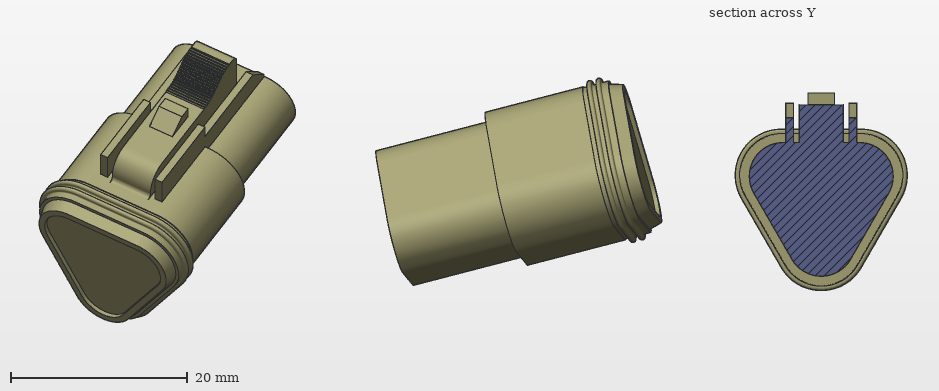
import cadquery as cq
import math

LENGTH = 29.0

OVERLAP = 0.3

BODY_SIDE = 9.02
SHELL_SIDE = 8.65
SHELL_RADIUS = 3.83
BODY_RADIUS = 4.73
SEAL_LAND_RADIUS = 4.65
RING_RADIUS = 5.235
TAPER_BASE_RADIUS = 4.25
TAPER_END_RADIUS = 3.85
RECESS_RADIUS = 3.1

TAPER_LENGTH = 1.45
LAND_REAR = 4.45
BODY_REAR = 15.9
RING_STATIONS = (2.52, 3.6)
RECESS_DEPTH = 0.52

RING_WIDTH = 0.58
RING_FOOT = 0.12

DECK_FRONT = 7.35
DECK_Z = SHELL_SIDE / (2 * math.sqrt(3)) + SHELL_RADIUS
BODY_TOP_Z = BODY_SIDE / (2 * math.sqrt(3)) + BODY_RADIUS

RAIL_INNER = 3.13
RAIL_THICKNESS = 0.9
RAIL_FRONT = 6.38
RAIL_HIGH_Z = 10.75
RAIL_LOW_Z = 9.14
RAIL_CHAMFER = 2.5

LATCH_WIDTH = 5.02
LATCH_REAR = 25.43
LATCH_TOP_Z = 12.73
LATCH_REAR_FILLET = 0.93
ARM_Z = 10.58
ARM_FRONT = RAIL_FRONT
ARM_BEND_RADIUS = 2.52
ARM_FOOT_FILLET = 0.5

GRIP_REAR = 23.87
GRIP_FRONT = 18.25
SLOPE_REAR = 23.64
SLOPE_FRONT = 18.82
SLOPE_ANGLE = math.radians(34)
TOOTH_COUNT = 18
TOOTH_HEIGHT = 0.15
TOOTH_RISE = 0.15
CREST_WIDTH = 0.072

CATCH_WIDTH = 3.02
CATCH_REAR = 16.4
CATCH_CREST = 15.05
CATCH_FRONT = 12.9
CATCH_Z = 11.92


def rounded_triangle(side, radius, y):
    """Downward-pointing rounded triangle, centred on the Y axis at the given station."""
    top = side / (2 * math.sqrt(3))
    tip = -side / math.sqrt(3)
    corners = [(-side / 2, top), (side / 2, top), (0, tip)]
    return cq.Workplane("XZ", origin=(0, y, 0)).polyline(corners).close().offset2D(radius)


def prism(side, radius, front, rear):
    return rounded_triangle(side, radius, rear).extrude(rear - front)


def side_profile(x_centre, width):
    """Sketch plane with (Y, Z) coordinates; extruding by width centres the solid on x_centre."""
    return cq.Workplane("YZ", origin=(x_centre - width / 2, 0, 0))


def seal_ring(station):
    """Round-tipped bead swept around the land, with small concave feet."""
    half = RING_WIDTH / 2
    root = BODY_SIDE / (2 * math.sqrt(3)) + SEAL_LAND_RADIUS
    tip = root + RING_RADIUS - SEAL_LAND_RADIUS
    buried = root - OVERLAP
    foot_mid = RING_FOOT * (1 - math.sqrt(0.5))
    outer = half + RING_FOOT
    section = (
        cq.Workplane("YZ")
        .moveTo(station - outer, buried)
        .lineTo(station - outer, root)
        .threePointArc((station - half - foot_mid, root + foot_mid), (station - half, root + RING_FOOT))
        .lineTo(station - half, tip - half)
        .threePointArc((station, tip), (station + half, tip - half))
        .lineTo(station + half, root + RING_FOOT)
        .threePointArc((station + half + foot_mid, root + foot_mid), (station + outer, root))
        .lineTo(station + outer, buried)
        .close()
    )
    corner_x = BODY_SIDE / 2
    corner_z = BODY_SIDE / (2 * math.sqrt(3))
    tip_z = -BODY_SIDE / math.sqrt(3)
    radius = SEAL_LAND_RADIUS
    face_x = radius * math.cos(math.radians(30))
    face_z = radius * math.sin(math.radians(30))
    path = (
        cq.Workplane("XZ", origin=(0, station, 0))
        .moveTo(0, corner_z + radius)
        .lineTo(corner_x, corner_z + radius)
        .threePointArc((corner_x + face_x, corner_z + face_z), (corner_x + face_x, corner_z - face_z))
        .lineTo(face_x, tip_z - face_z)
        .threePointArc((0, tip_z - radius), (-face_x, tip_z - face_z))
        .lineTo(-corner_x - face_x, corner_z - face_z)
        .threePointArc((-corner_x - face_x, corner_z + face_z), (-corner_x, corner_z + radius))
        .close()
    )
    return section.sweep(path)


def housing():
    taper_angle = math.degrees(math.atan((TAPER_BASE_RADIUS - TAPER_END_RADIUS) / TAPER_LENGTH))
    nose_base = rounded_triangle(BODY_SIDE, TAPER_BASE_RADIUS, TAPER_LENGTH)
    nose = nose_base.extrude(TAPER_LENGTH, taper=taper_angle)
    land = prism(BODY_SIDE, SEAL_LAND_RADIUS, TAPER_LENGTH, LAND_REAR)
    body = prism(BODY_SIDE, BODY_RADIUS, LAND_REAR, BODY_REAR)
    shell = prism(SHELL_SIDE, SHELL_RADIUS, BODY_REAR, LENGTH)
    solid = nose.union(land).union(body).union(shell)
    for station in RING_STATIONS:
        solid = solid.union(seal_ring(station))
    deck_cut = cq.Workplane().box(
        2 * RAIL_INNER, BODY_REAR - DECK_FRONT, BODY_TOP_Z - DECK_Z, centered=(True, False, False)
    )
    recess = prism(BODY_SIDE, RECESS_RADIUS, 0, RECESS_DEPTH)
    return solid.cut(deck_cut.translate((0, DECK_FRONT, DECK_Z))).cut(recess)


def rail(side):
    """Guard rail on the left (-1) or right (+1) of the latch."""
    root_z = DECK_Z - OVERLAP
    return (
        side_profile(side * (RAIL_INNER + RAIL_THICKNESS / 2), RAIL_THICKNESS)
        .moveTo(RAIL_FRONT, root_z)
        .lineTo(RAIL_FRONT, RAIL_HIGH_Z)
        .lineTo(BODY_REAR, RAIL_HIGH_Z)
        .lineTo(BODY_REAR, RAIL_LOW_Z)
        .lineTo(LENGTH - RAIL_CHAMFER, RAIL_LOW_Z)
        .lineTo(LENGTH, RAIL_LOW_Z - RAIL_CHAMFER)
        .lineTo(LENGTH, root_z)
        .close()
        .extrude(RAIL_THICKNESS)
    )


def grip_path():
    """Root line of the teeth as (length, turn angle) stretches: level, bend, straight, bend, level."""
    drop = LATCH_TOP_Z - TOOTH_HEIGHT - ARM_Z
    incline = drop / math.sin(SLOPE_ANGLE)
    tangent = (SLOPE_REAR - SLOPE_FRONT - incline * math.cos(SLOPE_ANGLE)) / 2
    bend = tangent / math.tan(SLOPE_ANGLE / 2) * SLOPE_ANGLE
    return [
        (GRIP_REAR - SLOPE_REAR, 0),
        (bend, SLOPE_ANGLE),
        (incline - 2 * tangent, 0),
        (bend, -SLOPE_ANGLE),
        (SLOPE_FRONT - GRIP_FRONT, 0),
    ]


def grip_point(distance, height):
    """(Y, Z) point at a distance along the root line, raised square to it by height."""
    y = GRIP_REAR
    z = LATCH_TOP_Z - TOOTH_HEIGHT
    heading = 0
    for length, turn in grip_path():
        step = min(distance, length)
        angle = turn * step / length
        chord = step if angle == 0 else step * math.sin(angle / 2) / (angle / 2)
        y -= chord * math.cos(heading + angle / 2)
        z -= chord * math.sin(heading + angle / 2)
        heading += angle
        distance -= step
    return y - height * math.sin(heading), z + height * math.cos(heading)


def toothed_line():
    """Line through the tooth roots and crests, from the rear of the grip to its front."""
    pitch = sum(length for length, _ in grip_path()) / TOOTH_COUNT
    points = [grip_point(0, 0)]
    for tooth in range(TOOTH_COUNT):
        crest_start = tooth * pitch + TOOTH_RISE
        points.append(grip_point(crest_start, TOOTH_HEIGHT))
        points.append(grip_point(crest_start + CREST_WIDTH, TOOTH_HEIGHT))
        points.append(grip_point((tooth + 1) * pitch, 0))
    return points


def latch():
    foot_front = ARM_FRONT - ARM_FOOT_FILLET
    return (
        side_profile(0, LATCH_WIDTH)
        .moveTo(foot_front, DECK_Z)
        .lineTo(LATCH_REAR, DECK_Z)
        .lineTo(LATCH_REAR, LATCH_TOP_Z - LATCH_REAR_FILLET)
        .tangentArcPoint((LATCH_REAR - LATCH_REAR_FILLET, LATCH_TOP_Z), relative=False)
        .lineTo(GRIP_REAR, LATCH_TOP_Z)
        .polyline(toothed_line(), includeCurrent=True)
        .lineTo(ARM_FRONT + ARM_BEND_RADIUS, ARM_Z)
        .tangentArcPoint((ARM_FRONT, ARM_Z - ARM_BEND_RADIUS), relative=False)
        .lineTo(ARM_FRONT, BODY_TOP_Z + ARM_FOOT_FILLET)
        .tangentArcPoint((foot_front, BODY_TOP_Z), relative=False)
        .close()
        .extrude(LATCH_WIDTH)
    )


def catch():
    return (
        side_profile(0, CATCH_WIDTH)
        .moveTo(CATCH_REAR, ARM_Z)
        .lineTo(CATCH_REAR, CATCH_Z)
        .lineTo(CATCH_CREST, CATCH_Z)
        .lineTo(CATCH_FRONT, ARM_Z)
        .close()
        .extrude(CATCH_WIDTH)
    )


result = housing().union(rail(-1)).union(rail(1)).union(latch()).union(catch())